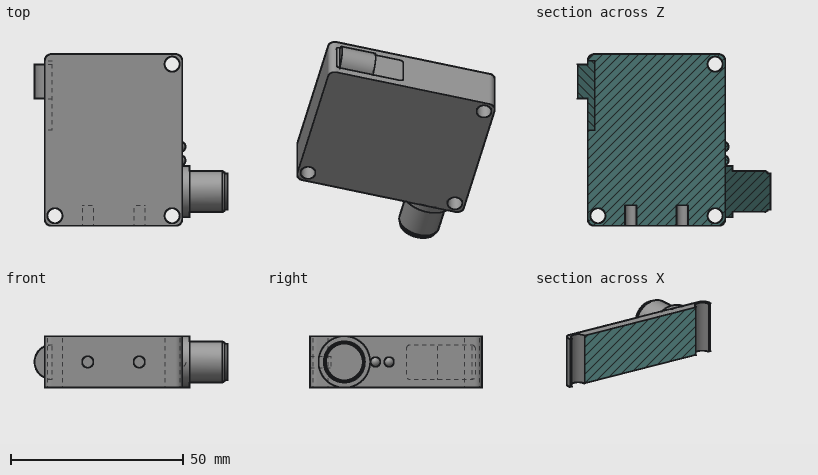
import cadquery as cq
import math

OVERALL_X = 56.1

HOUSING_X = 40.0
HOUSING_Y = 50.0
HOUSING_Z = 15.0
CORNER_RADIUS = 2.0
MID_Z = HOUSING_Z / 2

MOUNT_HOLE_DIAMETER = 4.3
MOUNT_HOLE_INSET = 3.0

SIDE_HOLE_DIAMETER = 3.3
SIDE_HOLE_SPACING = 15.0
SIDE_HOLE_DEPTH = 6.0

WINDOW_WIDTH = 20.0
WINDOW_HEIGHT = 10.0
WINDOW_CORNER_RADIUS = 1.0
WINDOW_END_Y = HOUSING_Y - CORNER_RADIUS
LENS_RADIUS = WINDOW_HEIGHT / 2
LENS_WIDTH = 10.0
LENS_RISE = 3.0
LENS_INSET = 1.0
LENS_END_Y = WINDOW_END_Y - LENS_INSET
WINDOW_DEPTH = LENS_RADIUS - LENS_RISE

CONNECTOR_Y = 10.0
FLANGE_RADIUS = MID_Z
FLANGE_LENGTH = 2.1
BARREL_RADIUS = 6.0
TIP_RADIUS = 5.35
CHAMFER_LENGTH = 0.7
CHAMFER_DROP = 0.4
TIP_LENGTH = 0.85
CONNECTOR_LENGTH = OVERALL_X - LENS_RISE - HOUSING_X

LAMP_SPHERE_RADIUS = 1.5
LAMP_RISE = 0.95
LAMP_Y_POSITIONS = (19.0, 23.0)


def make_window_block():
    """Rounded plate that fills the window recess in the -X face."""
    return (
        cq.Workplane("XY")
        .box(WINDOW_DEPTH, WINDOW_WIDTH, WINDOW_HEIGHT, centered=(False, False, True))
        .edges("|X")
        .fillet(WINDOW_CORNER_RADIUS)
        .translate((0, WINDOW_END_Y - WINDOW_WIDTH, MID_Z))
    )


def make_housing():
    """Block with rounded upright edges, mounting holes, side holes and window recess."""
    block = (
        cq.Workplane("XY")
        .box(HOUSING_X, HOUSING_Y, HOUSING_Z, centered=False)
        .edges("|Z")
        .fillet(CORNER_RADIUS)
    )

    near_x = MOUNT_HOLE_INSET
    far_x = HOUSING_X - MOUNT_HOLE_INSET
    near_y = MOUNT_HOLE_INSET
    far_y = HOUSING_Y - MOUNT_HOLE_INSET
    mount_holes = (
        cq.Workplane("XY")
        .pushPoints([(near_x, near_y), (far_x, near_y), (far_x, far_y)])
        .circle(MOUNT_HOLE_DIAMETER / 2)
        .extrude(HOUSING_Z)
    )

    left_x = (HOUSING_X - SIDE_HOLE_SPACING) / 2
    right_x = (HOUSING_X + SIDE_HOLE_SPACING) / 2
    side_holes = (
        cq.Workplane("XZ")
        .pushPoints([(left_x, MID_Z), (right_x, MID_Z)])
        .circle(SIDE_HOLE_DIAMETER / 2)
        .extrude(-SIDE_HOLE_DEPTH)
    )

    return block.cut(mount_holes).cut(side_holes).cut(make_window_block())


def make_optic():
    """Window plate with a lens in place of one stretch of it, as one body.

    The lens axis lies on the recess floor, so its curve leaves a narrow groove to the housing
    above and below.
    """
    lens_gap = (
        cq.Workplane("XY")
        .box(WINDOW_DEPTH, LENS_WIDTH, WINDOW_HEIGHT, centered=(False, False, True))
        .translate((0, LENS_END_Y - LENS_WIDTH, MID_Z))
    )
    lens = (
        cq.Workplane("XZ", origin=(WINDOW_DEPTH, LENS_END_Y, MID_Z))
        .moveTo(0, -LENS_RADIUS)
        .threePointArc((-LENS_RADIUS, 0), (0, LENS_RADIUS))
        .close()
        .extrude(LENS_WIDTH)
    )
    return make_window_block().cut(lens_gap).union(lens)


def make_connector():
    """Flange, barrel with chamfered end and stepped tip, turned about one X axis."""
    barrel_end = CONNECTOR_LENGTH - TIP_LENGTH
    return (
        cq.Workplane("XY", origin=(HOUSING_X, CONNECTOR_Y, MID_Z))
        .moveTo(0, 0)
        .lineTo(0, FLANGE_RADIUS)
        .lineTo(FLANGE_LENGTH, FLANGE_RADIUS)
        .lineTo(FLANGE_LENGTH, BARREL_RADIUS)
        .lineTo(barrel_end - CHAMFER_LENGTH, BARREL_RADIUS)
        .lineTo(barrel_end, BARREL_RADIUS - CHAMFER_DROP)
        .lineTo(barrel_end, TIP_RADIUS)
        .lineTo(CONNECTOR_LENGTH, TIP_RADIUS)
        .lineTo(CONNECTOR_LENGTH, 0)
        .close()
        .revolve(360, (0, 0, 0), (1, 0, 0))
    )


def make_lamp(lamp_y):
    """Spherical cap whose flat base rests on the +X face."""
    sphere_depth = LAMP_SPHERE_RADIUS - LAMP_RISE
    base_radius = math.sqrt(LAMP_SPHERE_RADIUS**2 - sphere_depth**2)
    mid_angle = math.pi / 4
    arc_mid = (
        LAMP_SPHERE_RADIUS * math.cos(mid_angle) - sphere_depth,
        LAMP_SPHERE_RADIUS * math.sin(mid_angle),
    )
    return (
        cq.Workplane("XY", origin=(HOUSING_X, lamp_y, MID_Z))
        .lineTo(0, base_radius)
        .threePointArc(arc_mid, (LAMP_RISE, 0))
        .close()
        .revolve(360, (0, 0, 0), (1, 0, 0))
    )


housing = make_housing()
optic = make_optic()
connector = make_connector()
lamps = [make_lamp(lamp_y) for lamp_y in LAMP_Y_POSITIONS]

result = cq.Compound.makeCompound(
    [housing.val(), optic.val(), connector.val(), *[lamp.val() for lamp in lamps]]
)